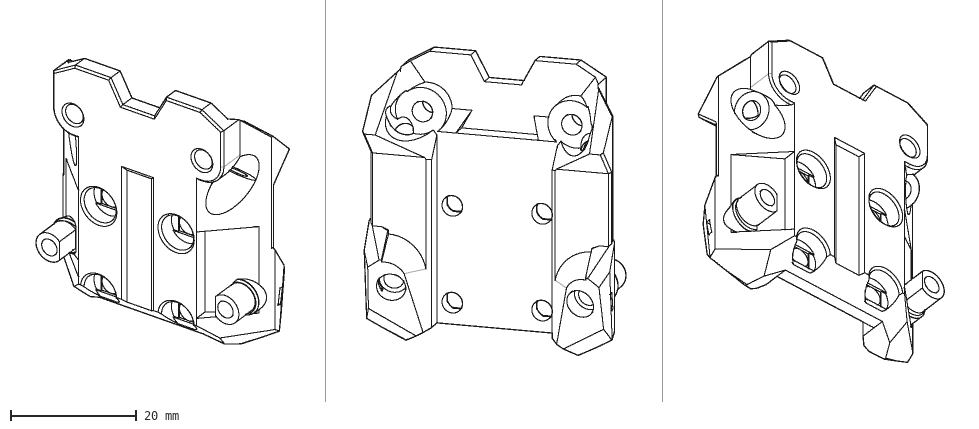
import cadquery as cq
import math


plate_thickness = 6.0
head_thickness = 2.95
top_z = 46.55
plate_half_width = 11.4
shoulder_x = 12.25
shoulder_z = 44.1
notch_mouth_half = 5.35
notch_floor_half = 3.05
notch_floor_z = 42.3
head_edge_chamfer = 0.35
bottom_z = 2.5
bottom_chamfer_z = 6.43

ear_x = 12.5
ear_z = 37.4
ear_radius = 4.0
ear_hole_diameter = 3.4
clearance_x = 13.18
clearance_radius = 3.8
hole_edge_chamfer = 0.4

step_plane_sum = 40.3
dovetail_floor_half = 6.9
dovetail_mouth_half = 5.15

screw_x = 7.5
screw_rows_z = (6.1, 22.15)
screw_diameter = 3.4
counterbore_diameter = 6.2
counterbore_depth = 2.95
bridge_step = 0.25

groove_half_width = 3.1
groove_top_z = 31.05
groove_depth = 0.55
groove_wall_width = 0.75

upper_wing_x = 20.1
overall_width = 41.0
lower_wing_x = overall_width / 2
wing_back_y = 9.5
wing_tip_y = 13.85
wing_roof_sum = 49.05
wing_inner_x = 10.05
wing_slope = 0.97
roof_edge_z = 40.2
wing_back_chamfer = 0.4
wing_bottom_z = 11.17
inner_face_point = (-15.45, 2.95, 44.7)
inner_face_normal = (1, 0.86, 0.73)

angled_point = (-15.6, 5.65, 33.55)
angled_direction = (0, 1, 1)
angled_diameter = 3.2
angled_counterbore_diameter = 6.2
angled_boss_length = 3.72

lobe_radius = 7.0
lobe_tip_x = 14.4
lobe_side_z = 3.4
lobe_shoulder_z = 19.75
lobe_cone_start_y = 8.85
lobe_end_point = (-19.55, 13.25, 12.7)
lobe_flank_point = (-lower_wing_x, 11.4, 15.2)
lobe_flank_normal = (-0.35, 0.8, 0.5)
lobe_side_normal = (-0.87, 0.49, -0.055)
lobe_crest_point = (0, 10.9, 17.15)
lobe_crest_normal = (0, 0.76, 0.65)
lobe_rear_point = (-lobe_tip_x, 8.65, 0)
lobe_rear_normal = (-0.13, 0.8, -0.57)
lobe_foot_point = (-14.2, 2.8, 3.72)
lobe_foot_normal = (-0.54, -0.48, -0.68)

inner_bevel_point = (-13.9, 12.6, 0)
inner_bevel_normal = (1, 1, 0)

pin_x = 17.05
pin_z = 11.3
pin_diameter = 5.2
pin_length = 4.55
pin_bore_diameter = 3.0
pin_flat_x = 15.1
barrel_direction = (0.15, 1, -0.2)
barrel_pivot_y = 3.72
barrel_diameter = 6.2
barrel_start_y = 4.85
barrel_edge_y = 5.15
barrel_bore_diameter = 3.2
barrel_bore_length = 5.8
barrel_counterbore_diameter = 4.7

pocket_x = 18.65
pocket_low_z = 7.78
pocket_high_z = 23.8
pocket_wall_y = 2.4
pocket_end_y = 7.1

slit_y = 10.35
slit_z = 9.9
slit_thickness = 0.7
slit_length = 3.0
slit_reach = 2.85

far = 93.1


def trim(body, point, outward):
    """Remove everything on the outward side of a plane."""
    plane = cq.Plane(origin=point, normal=outward)
    return body.cut(cq.Workplane(plane).rect(2 * far, 2 * far).extrude(far))


def along(point, direction, distance):
    """The point at a distance along a direction."""
    size = math.sqrt(sum(part * part for part in direction))
    return tuple(start + distance * part / size for start, part in zip(point, direction))


def rod(point, direction, diameter, start, end):
    """Round rod on an axis, between two distances from the point."""
    plane = cq.Plane(origin=along(point, direction, start), normal=direction)
    return cq.Workplane(plane).circle(diameter / 2).extrude(end - start)


def cone_along_y(base, base_radius, end_radius, height):
    """Cone or frustum that rises toward +Y from the center of its base."""
    return cq.Workplane(cq.Solid.makeCone(
        base_radius, end_radius, height, cq.Vector(*base), cq.Vector(0, 1, 0)))


def flared_hole(center, diameter, depth):
    """Hole toward +Y with a 45 degree countersunk rim."""
    rim = cone_along_y(center, diameter / 2 + hole_edge_chamfer, diameter / 2, hole_edge_chamfer)
    return rod(center, (0, 1, 0), diameter, 0, depth).union(rim)


def front_plane(y=0.0):
    """Workplane whose local x, y are X, Z; negative extrusions go toward +Y."""
    return cq.Workplane(cq.Plane(origin=(0, y, 0), xDir=(1, 0, 0), normal=(0, -1, 0)))


def prism(outline, start_y, end_y):
    """Outline of (x, z) points extruded from one y to another."""
    return front_plane(start_y).polyline(outline).close().extrude(start_y - end_y)


def mirrored(points):
    """Left-side points followed by their mirror images, in order around the outline."""
    return points + [(-x, z) for x, z in reversed(points)]


def make_plate():
    """Head with a chamfered front edge and round ears, on a narrower core."""
    ear_side_x = ear_x + ear_radius
    ear_diagonal = ear_radius * math.sqrt(0.5)
    ear_foot_z = ear_z - ear_radius
    head = (
        front_plane()
        .moveTo(-ear_x, ear_foot_z)
        .threePointArc((-ear_x - ear_diagonal, ear_z - ear_diagonal), (-ear_side_x, ear_z))
        .lineTo(-ear_side_x, shoulder_z)
        .lineTo(-shoulder_x, top_z)
        .lineTo(-notch_mouth_half, top_z)
        .lineTo(-notch_floor_half, notch_floor_z)
        .lineTo(notch_floor_half, notch_floor_z)
        .lineTo(notch_mouth_half, top_z)
        .lineTo(shoulder_x, top_z)
        .lineTo(ear_side_x, shoulder_z)
        .lineTo(ear_side_x, ear_z)
        .threePointArc((ear_x + ear_diagonal, ear_z - ear_diagonal), (ear_x, ear_foot_z))
        .close()
        .extrude(-plate_thickness)
    )
    head = head.faces("<Y").chamfer(head_edge_chamfer)
    core = prism(mirrored([(-plate_half_width, bottom_z), (-plate_half_width, ear_z)]), 0, plate_thickness)
    return head.union(core)


def clear_of_wings(body):
    """Limit a cut behind the head to the space between the inner faces of the wings."""
    x, y, z = inner_face_point
    normal_x, normal_y, normal_z = inner_face_normal
    body = trim(body, (x, y, z), (-normal_x, -normal_y, -normal_z))
    return trim(body, (-x, y, z), (normal_x, -normal_y, -normal_z))


def head_step():
    """Volume removed behind the head: above a 45 degree step, plus a dovetail gap below it."""
    step = prism(mirrored([(-far, 0), (-far, far)]), head_thickness, plate_thickness)
    step = trim(step, (0, 0, step_plane_sum), (0, -1, -1))
    step = clear_of_wings(step)
    for side in (-1, 1):
        step = step.cut(rod((side * ear_x, 0, ear_z), (0, 1, 0), 2 * ear_radius, 0, plate_thickness))
    floor_z = step_plane_sum - plate_thickness
    mouth_z = step_plane_sum - head_thickness
    dovetail = prism(
        mirrored([(-dovetail_floor_half, floor_z), (-dovetail_mouth_half, mouth_z)]),
        head_thickness, plate_thickness,
    )
    return step.union(dovetail)


def make_upper_wing():
    """Upper wing: a thin back, a 45 degree roof and a pointed tip."""
    tip_z = wing_roof_sum - wing_tip_y
    profile = [
        (0, wing_bottom_z),
        (0, wing_roof_sum),
        (wing_tip_y, tip_z),
        (wing_back_y, tip_z - (wing_tip_y - wing_back_y)),
        (wing_back_y, wing_bottom_z),
    ]
    wing = cq.Workplane("YZ").workplane(offset=-upper_wing_x).polyline(profile).close()
    wing = wing.extrude(upper_wing_x - wing_inner_x)
    back_edges = [
        edge for edge in wing.faces("<X").edges().vals()
        if edge.Center().y >= wing_back_y and edge.Center().z < tip_z
    ]
    wing = wing.newObject(back_edges).chamfer(wing_back_chamfer)
    wing = trim(wing, inner_face_point, inner_face_normal)
    wing = trim(wing, inner_bevel_point, inner_bevel_normal)
    roof_normal = (shoulder_z - top_z, 0, ear_x + ear_radius - shoulder_x)
    return trim(wing, (-shoulder_x, 0, top_z), roof_normal)


def lobe_corner():
    """Waste around the 45 degree cone on the upper inner corner of the lobe."""
    start = (-pin_x, lobe_cone_start_y, pin_z)
    corner = cq.Workplane("XY").box(far, far, far, centered=False).translate(start)
    return corner.cut(cone_along_y(start, lobe_radius, 0, lobe_radius))


def make_lower_wing():
    """Lower wing with the rounded lobe that surrounds the barrel."""
    lobe_x = lobe_radius - pin_x
    diagonal = lobe_radius * math.sqrt(0.5)
    lobe = (
        front_plane()
        .moveTo(-lobe_tip_x, 0)
        .lineTo(-lower_wing_x, lobe_side_z)
        .lineTo(-lower_wing_x, lobe_shoulder_z)
        .lineTo(-pin_x, pin_z + lobe_radius)
        .threePointArc((-pin_x + diagonal, pin_z + diagonal), (lobe_x, pin_z))
        .lineTo(lobe_x, bottom_z)
        .close()
        .extrude(-far)
    )
    lobe = lobe.cut(lobe_corner())
    planes = [
        (lobe_end_point, barrel_direction),
        (inner_bevel_point, inner_bevel_normal),
        (lobe_crest_point, lobe_crest_normal),
        (lobe_flank_point, lobe_side_normal),
        (lobe_flank_point, lobe_flank_normal),
        (lobe_rear_point, lobe_rear_normal),
        (lobe_foot_point, lobe_foot_normal),
    ]
    for point, outward in planes:
        lobe = trim(lobe, point, outward)
    return lobe


def wing_pocket():
    """Pocket beside the plate with a sloping floor."""
    outline = [
        (-plate_half_width, 0), (-plate_half_width, pocket_wall_y),
        (-pocket_x, pocket_end_y), (-pocket_x, 0),
    ]
    pocket = cq.Workplane("XY").workplane(offset=pocket_low_z).polyline(outline).close()
    return pocket.extrude(pocket_high_z - pocket_low_z)


def make_left_wing():
    """Both wing parts behind one sloping front, with the pocket and the angled boss."""
    wing = make_upper_wing().union(make_lower_wing())
    wing = trim(wing, (-plate_half_width, 0, 0), (-wing_slope, -1, 0))
    wing = trim(wing, (-upper_wing_x, 0, roof_edge_z), (-1, 0, 1))
    return wing.cut(wing_pocket()).union(angled_boss())


def make_barrel():
    """Tilted barrel above the pin, cut off square to Y with a chamfered rim."""
    pivot = (-pin_x, barrel_pivot_y, pin_z)
    barrel = rod(pivot, barrel_direction, barrel_diameter, 0, barrel_bore_length)
    barrel = trim(barrel, (0, barrel_edge_y, 0), (0, -1, 0))
    rise = barrel_edge_y - barrel_pivot_y
    end_x = -pin_x + rise * barrel_direction[0]
    end_z = pin_z + rise * barrel_direction[2]
    edge_chamfer = barrel_edge_y - barrel_start_y
    rim = cone_along_y(
        (end_x, barrel_start_y, end_z), barrel_diameter / 2 - edge_chamfer, barrel_diameter / 2, edge_chamfer)
    return barrel.union(trim(rim, (-pin_flat_x, 0, 0), (1, 0, 0)))


def barrel_bore():
    """Bore of the barrel, counterbored from the back of the lobe."""
    pivot = (-pin_x, barrel_pivot_y, pin_z)
    bore = rod(pivot, barrel_direction, barrel_bore_diameter, 0, far)
    return bore.union(rod(pivot, barrel_direction, barrel_counterbore_diameter, barrel_bore_length, far))


def outer_slit():
    """Slit square to the tilt of the barrel."""
    slit = cq.Workplane("XY").box(2 * slit_reach, slit_thickness, slit_length)
    tilt = math.degrees(math.atan(-barrel_direction[2]))
    slit = slit.rotate((0, 0, 0), (1, 0, 0), -tilt)
    return slit.translate((-lower_wing_x, slit_y, slit_z))


def angled_hole():
    """Screw hole square to the 45 degree roof."""
    return rod(angled_point, angled_direction, angled_diameter, 0, far)


def angled_counterbore():
    """Access in front of the angled screw seat."""
    return rod(angled_point, angled_direction, angled_counterbore_diameter, -far, 0)


def angled_boss():
    """Boss that carries the screw seat out through the sloping front of the wing."""
    boss = rod(angled_point, angled_direction, angled_counterbore_diameter, 0, angled_boss_length)
    return trim(boss, inner_face_point, inner_face_normal)


def ear_hole():
    """Ear hole and the clearance that runs on from it, behind the plate and through the wing."""
    hole = flared_hole((-ear_x, 0, ear_z), ear_hole_diameter, plate_thickness)
    return hole.union(rod((-clearance_x, 0, ear_z), (0, 1, 0), 2 * clearance_radius, plate_thickness, far))


def screw_hole(z):
    """Counterbored hole whose floor steps down to a slot and then to a square."""
    center = (-screw_x, 0, z)
    hole = rod(center, (0, 1, 0), screw_diameter, 0, plate_thickness)
    hole = hole.union(flared_hole(center, counterbore_diameter, counterbore_depth))
    slot_end_y = counterbore_depth + bridge_step
    square_end_y = slot_end_y + bridge_step
    slot = front_plane().center(-screw_x, z).rect(counterbore_diameter, screw_diameter).extrude(-slot_end_y)
    slot = slot.intersect(rod(center, (0, 1, 0), counterbore_diameter, 0, slot_end_y))
    square = front_plane().center(-screw_x, z).rect(screw_diameter, screw_diameter).extrude(-square_end_y)
    return hole.union(slot).union(square)


def front_groove():
    """Groove with sloping walls, open at the bottom of the plate."""
    floor_half = groove_half_width - groove_wall_width
    outline = [
        (-groove_half_width, 0), (-floor_half, groove_depth),
        (floor_half, groove_depth), (groove_half_width, 0),
    ]
    groove = cq.Workplane("XY").polyline(outline).close().extrude(groove_top_z)
    return trim(groove, (0, 0, groove_top_z), (0, groove_wall_width, groove_depth))


def both_sides(left):
    return left.union(left.mirror("YZ"))


def make_housing():
    housing = make_plate().cut(head_step())
    housing = housing.union(both_sides(make_left_wing()))
    housing = trim(housing, (0, 0, bottom_chamfer_z), (0, -1, -1))
    housing = housing.union(both_sides(make_barrel()))
    cuts = [ear_hole(), angled_hole(), angled_counterbore(), barrel_bore(), outer_slit()]
    cuts += [screw_hole(z) for z in screw_rows_z]
    for cut in cuts:
        housing = housing.cut(cut).cut(cut.mirror("YZ"))
    return housing.cut(front_groove())


def make_pin(side):
    """Flatted support pin under a barrel."""
    pin = rod((-pin_x, 0, pin_z), (0, 1, 0), pin_diameter, 0, pin_length)
    pin = trim(pin, (-pin_flat_x, 0, 0), (1, 0, 0))
    pin = pin.cut(rod((-pin_x, 0, pin_z), (0, 1, 0), pin_bore_diameter, 0, pin_length))
    return pin if side < 0 else pin.mirror("YZ")


housing = make_housing()
pins = [make_pin(side) for side in (-1, 1)]

result = cq.Compound.makeCompound([*housing.vals(), *[pin.val() for pin in pins]])